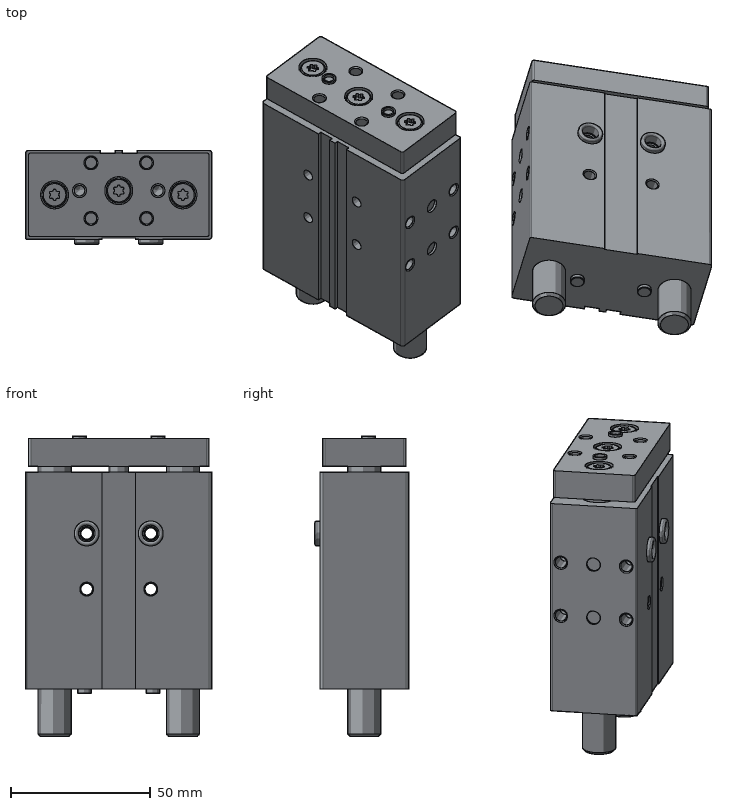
import cadquery as cq
import math


HOUSING_WIDTH = 67
HOUSING_DEPTH = 32.0
HOUSING_HEIGHT = 78.0
HOUSING_CORNER = 1.1
HOUSING_SMALL_CORNER = 0.5
FRONT_GROOVE_WIDTH = 12.0
FRONT_GROOVE_DEPTH = 0.4
REAR_SLOT_WIDTH = 13.2
REAR_SLOT_DEPTH = 1.3
REAR_RIB_WIDTH = 2.6
FRONT_FACE = -HOUSING_DEPTH / 2
REAR_FACE = HOUSING_DEPTH / 2
SIDE_FACE = -HOUSING_WIDTH / 2

THREAD_BORE = 4.1
THREAD_MOUTH = 5.0
DRILL_TIP_ANGLE = 118

UPPER_HOLE_Z = 56.0
HOLE_PITCH_Z = 20.0
HOLE_LEVELS = (UPPER_HOLE_Z, UPPER_HOLE_Z - HOLE_PITCH_Z)
FRONT_HOLE_PITCH_X = 23.0
FRONT_HOLE_XS = (-FRONT_HOLE_PITCH_X / 2, FRONT_HOLE_PITCH_X / 2)
SIDE_HOLE_PITCH_Y = 24.0
SIDE_HOLE_DEPTH = 8.6
PORT_DIAMETER = 5.0
PORT_DEPTH = 1.0

SLEEVE_DIAMETER = 9.0
SLEEVE_BORE = 5.9
SLEEVE_PROTRUSION = 1.8
SLEEVE_SEAT_DEPTH = 2.2

PLATE_WIDTH = 65.0
PLATE_DEPTH = 30.0
PLATE_THICKNESS = 10.0
PLATE_CORNER = 0.9
PLATE_GAP = 2.0
PLATE_BOTTOM = HOUSING_HEIGHT + PLATE_GAP
PLATE_TOP = PLATE_BOTTOM + PLATE_THICKNESS
PLATE_HOLE_PITCH = 20.0

STUD_DIAMETER = 5.0
PLATE_STUD_PITCH = 28.2
PLATE_STUD_HEIGHT = 0.9
PLATE_STUD_BORE = 3.8
PLATE_STUD_BORE_DEPTH = 1.1
FOOT_STUD_PITCH = 24.6
FOOT_STUD_HEIGHT = 1.5
FOOT_STUD_CHAMFER = 0.2

GUIDE_DIAMETER = 12.0
GUIDE_PITCH = 46.2
GUIDE_XS = (-GUIDE_PITCH / 2, GUIDE_PITCH / 2)
GUIDE_PROTRUSION = 17.1
GUIDE_END_CHAMFER = 1.0
PISTON_DIAMETER = 7.0
PISTON_Y = 1.5
PISTON_INSERTION = 43.2

SCREW_HEAD_DIAMETER = 9.0
SCREW_HEAD_CHAMFER = 0.4
SCREW_HEAD_HEIGHT = 3.2
SCREW_RECESS = 0.3
SCREW_SEAT_DIAMETER = 10.0
SCREW_SHANK_DIAMETER = 5.0
SCREW_GRIP = 8.6
SOCKET_CORE = 3.0
SOCKET_LOBE_SPAN = 4.1
SOCKET_LOBE_WIDTH = 1.0
SOCKET_DEPTH = 1.6
SCREW_SEAT_DEPTH = SCREW_HEAD_HEIGHT + SCREW_RECESS

ROD_PLACES = [(x, 0) for x in GUIDE_XS] + [(0, PISTON_Y)]


def cylinder(diameter, length, start, direction):
    """Solid cylinder from a start point along a direction."""
    return cq.Workplane(cq.Solid.makeCylinder(diameter / 2, length, cq.Vector(start), cq.Vector(direction)))


def cone(base_diameter, tip_diameter, length, start, direction):
    """Solid cone from a start point along a direction."""
    return cq.Workplane(
        cq.Solid.makeCone(base_diameter / 2, tip_diameter / 2, length, cq.Vector(start), cq.Vector(direction))
    )


def drilled_hole(diameter, depth, start, direction):
    """Cutter for a blind hole with a conical drill tip below its full-width depth."""
    tip_start = cq.Vector(start) + cq.Vector(direction) * depth
    tip_length = diameter / 2 / math.tan(math.radians(DRILL_TIP_ANGLE / 2))
    shaft = cylinder(diameter, depth, start, direction)
    return shaft.union(cone(diameter, 0, tip_length, tip_start, direction))


def thread_mouth(start, direction):
    """Cutter for the 45 degree countersink of a threaded hole."""
    return cone(THREAD_MOUTH, THREAD_BORE, (THREAD_MOUTH - THREAD_BORE) / 2, start, direction)


def upright_block(width, depth, height, y, z):
    """Block centred on X = 0 that starts at height z, with its middle at y."""
    return cq.Workplane("XY", origin=(0, y, z)).rect(width, depth).extrude(height)


def make_housing():
    body = upright_block(HOUSING_WIDTH, HOUSING_DEPTH, HOUSING_HEIGHT, 0, 0)
    body = body.edges("|Z and (>X or >Y)").fillet(HOUSING_CORNER)
    body = body.edges("|Z and (<X and <Y)").fillet(HOUSING_SMALL_CORNER)

    body = body.cut(upright_block(FRONT_GROOVE_WIDTH, 2 * FRONT_GROOVE_DEPTH, HOUSING_HEIGHT, FRONT_FACE, 0))
    rear_slot = upright_block(REAR_SLOT_WIDTH, 2 * REAR_SLOT_DEPTH, HOUSING_HEIGHT, REAR_FACE, 0)
    rear_rib = upright_block(REAR_RIB_WIDTH, 2 * REAR_SLOT_DEPTH, HOUSING_HEIGHT, REAR_FACE, 0)
    body = body.cut(rear_slot.cut(rear_rib))

    for x in GUIDE_XS:
        body = body.cut(cylinder(GUIDE_DIAMETER, HOUSING_HEIGHT, (x, 0, 0), (0, 0, 1)))
    body = body.cut(cylinder(PISTON_DIAMETER, PISTON_INSERTION, (0, PISTON_Y, HOUSING_HEIGHT), (0, 0, -1)))

    for x in FRONT_HOLE_XS:
        for z in HOLE_LEVELS:
            seat_depth = SLEEVE_SEAT_DEPTH if z == UPPER_HOLE_Z else 0
            body = body.cut(cylinder(THREAD_BORE, HOUSING_DEPTH, (x, FRONT_FACE, z), (0, 1, 0)))
            body = body.cut(thread_mouth((x, FRONT_FACE + seat_depth, z), (0, 1, 0)))
        body = body.cut(
            cylinder(SLEEVE_DIAMETER, SLEEVE_SEAT_DEPTH, (x, FRONT_FACE, UPPER_HOLE_Z), (0, 1, 0))
        )

    for z in HOLE_LEVELS:
        for y in (-SIDE_HOLE_PITCH_Y / 2, SIDE_HOLE_PITCH_Y / 2):
            body = body.cut(drilled_hole(THREAD_BORE, SIDE_HOLE_DEPTH, (SIDE_FACE, y, z), (1, 0, 0)))
            body = body.cut(thread_mouth((SIDE_FACE, y, z), (1, 0, 0)))
        body = body.cut(cylinder(PORT_DIAMETER, PORT_DEPTH, (SIDE_FACE, 0, z), (1, 0, 0)))

    for x in (-FOOT_STUD_PITCH / 2, FOOT_STUD_PITCH / 2):
        stud = cylinder(STUD_DIAMETER, FOOT_STUD_HEIGHT, (x, PISTON_Y, 0), (0, 0, -1))
        body = body.union(stud.faces("<Z").edges().chamfer(FOOT_STUD_CHAMFER))
    return body


def make_plate():
    body = upright_block(PLATE_WIDTH, PLATE_DEPTH, PLATE_THICKNESS, 0, PLATE_BOTTOM)
    body = body.edges("|Z").fillet(PLATE_CORNER)

    for side in (-1, 1):
        for end in (-1, 1):
            x = side * PLATE_HOLE_PITCH / 2
            y = PISTON_Y + end * PLATE_HOLE_PITCH / 2
            body = body.cut(cylinder(THREAD_BORE, PLATE_THICKNESS, (x, y, PLATE_TOP), (0, 0, -1)))
            body = body.cut(thread_mouth((x, y, PLATE_TOP), (0, 0, -1)))

    for x in (-PLATE_STUD_PITCH / 2, PLATE_STUD_PITCH / 2):
        stud = cylinder(STUD_DIAMETER, PLATE_STUD_HEIGHT, (x, PISTON_Y, PLATE_TOP), (0, 0, 1))
        body = body.union(stud)
        stud_top = (x, PISTON_Y, PLATE_TOP + PLATE_STUD_HEIGHT)
        body = body.cut(drilled_hole(PLATE_STUD_BORE, PLATE_STUD_BORE_DEPTH, stud_top, (0, 0, -1)))

    for x, y in ROD_PLACES:
        body = body.cut(cylinder(SCREW_SEAT_DIAMETER, SCREW_SEAT_DEPTH, (x, y, PLATE_TOP), (0, 0, -1)))
        body = body.cut(cylinder(SCREW_SHANK_DIAMETER, PLATE_THICKNESS, (x, y, PLATE_TOP), (0, 0, -1)))
    return body


def screw_hole(x, y):
    """Cutter for the screw hole in the top of a rod."""
    return cylinder(SCREW_SHANK_DIAMETER, SCREW_GRIP, (x, y, PLATE_BOTTOM), (0, 0, -1))


def make_guide_rod(x):
    length = PLATE_BOTTOM + GUIDE_PROTRUSION
    rod = cylinder(GUIDE_DIAMETER, length, (x, 0, -GUIDE_PROTRUSION), (0, 0, 1))
    rod = rod.faces("<Z").edges().chamfer(GUIDE_END_CHAMFER)
    return rod.cut(screw_hole(x, 0))


def make_piston_rod():
    length = PLATE_GAP + PISTON_INSERTION
    rod = cylinder(PISTON_DIAMETER, length, (0, PISTON_Y, PLATE_BOTTOM), (0, 0, -1))
    return rod.cut(screw_hole(0, PISTON_Y))


def make_screw(x, y):
    head_top = PLATE_TOP - SCREW_RECESS
    shank_length = PLATE_THICKNESS - SCREW_RECESS + SCREW_GRIP
    screw = cylinder(SCREW_HEAD_DIAMETER, SCREW_HEAD_HEIGHT, (x, y, head_top), (0, 0, -1))
    screw = screw.faces(">Z").edges().chamfer(SCREW_HEAD_CHAMFER)
    screw = screw.union(cylinder(SCREW_SHANK_DIAMETER, shank_length, (x, y, head_top), (0, 0, -1)))

    socket = cylinder(SOCKET_CORE, SOCKET_DEPTH, (x, y, head_top), (0, 0, -1))
    for angle in (30, 90, 150):
        lobes = cq.Workplane("XY", origin=(x, y, head_top))
        lobes = lobes.slot2D(SOCKET_LOBE_SPAN, SOCKET_LOBE_WIDTH, angle).extrude(-SOCKET_DEPTH)
        socket = socket.union(lobes)
    return screw.cut(socket)


def make_sleeve(x):
    """Sleeve whose outer end is rounded over the whole wall."""
    inner = SLEEVE_BORE / 2
    outer = SLEEVE_DIAMETER / 2
    rim_radius = (outer - inner) / 2
    rim_start = SLEEVE_SEAT_DEPTH + SLEEVE_PROTRUSION - rim_radius
    profile = (
        cq.Workplane("XY", origin=(x, FRONT_FACE + SLEEVE_SEAT_DEPTH, UPPER_HOLE_Z))
        .moveTo(inner, 0)
        .lineTo(outer, 0)
        .lineTo(outer, -rim_start)
        .threePointArc((inner + rim_radius, -rim_start - rim_radius), (inner, -rim_start))
        .close()
    )
    return profile.revolve(360, (0, 0, 0), (0, 1, 0))


housing = make_housing()
plate = make_plate()
guide_rods = [make_guide_rod(x) for x in GUIDE_XS]
piston_rod = make_piston_rod()
screws = [make_screw(x, y) for x, y in ROD_PLACES]
sleeves = [make_sleeve(x) for x in FRONT_HOLE_XS]

result = cq.Compound.makeCompound([
    housing.val(),
    plate.val(),
    *[rod.val() for rod in guide_rods],
    piston_rod.val(),
    *[screw.val() for screw in screws],
    *[sleeve.val() for sleeve in sleeves],
])